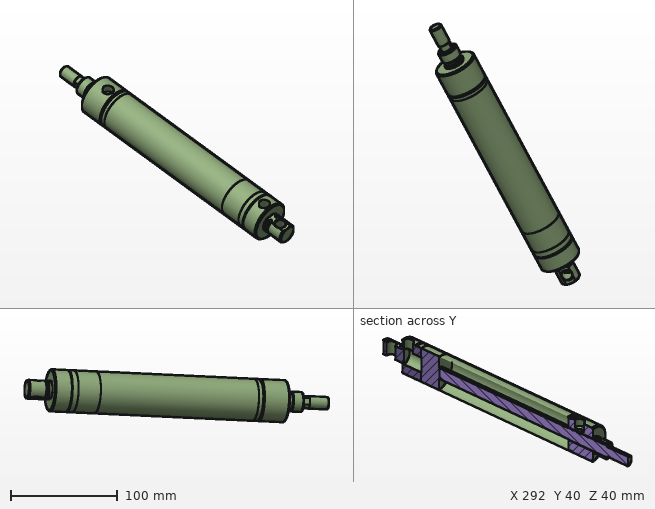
import cadquery as cq
import math

total_length = 292.0
collar_start = 25.0
head_start = 41.8
tube_start = 67.5
tube_end = 252.7
cap_end = 269.5

barrel_radius = 20.0
tube_bore_radius = 19.3
end_chamfer = 1.2
head_joint_chamfer = 1.2
cap_joint_chamfer = 1.0
tube_chamfer = 0.45
head_spigot_length = 4.5
cap_spigot_length = 5.8
head_spigot_end = tube_start + head_spigot_length
cap_spigot_start = tube_end - cap_spigot_length

stem_radius = 9.5
stem_chamfer = 1.2
groove_depth = 1.0
front_groove_start = 35.3
front_groove_width = 4.5
rear_groove_start = 272.2
rear_groove_width = 3.2

eye_hole_x = 282.8
eye_hole_radius = 5.0
eye_countersink = 0.5
eye_flat_half_width = 4.82

tip_radius = 6.0
tip_chamfer = 1.0
neck_radius = 5.8
shank_radius = 6.7
neck_start = 18.7
flat_half_gap = 5.0

piston_length = 21.5
piston_end = cap_spigot_start
piston_start = piston_end - piston_length

port_radius = 5.3
front_port_x = 58.0
rear_port_x = 262.0
port_passage_radius = 3.2
port_depth = 8.8
cap_chamber_radius = 8.5
cap_chamber_end = rear_port_x + port_radius


def cylinder(radius, start, end):
    """Solid cylinder on the X axis between two X positions."""
    return cq.Workplane("YZ", origin=(start, 0, 0)).circle(radius).extrude(end - start)


def vertical_hole(radius, x, bottom, top):
    """Vertical cylindrical cutter centred on the axis at the given X position."""
    return cq.Workplane("XY", origin=(x, 0, bottom)).circle(radius).extrude(top - bottom)


def slab(start, end, y_size, z_size):
    """Rectangular block between two X positions, centred on the X axis."""
    length = end - start
    return cq.Workplane("XY", origin=(start + length / 2, 0, 0)).box(length, y_size, z_size)


def relief_groove(start, width):
    """Ring cutter with sloped walls that leaves a shallow groove in a stem."""
    floor_radius = stem_radius - groove_depth
    profile = [
        (start, stem_radius),
        (start + groove_depth, floor_radius),
        (start + width - groove_depth, floor_radius),
        (start + width, stem_radius),
    ]
    return cq.Workplane("XY").polyline(profile).close().revolve(360, (0, 0, 0), (1, 0, 0))


def front_port():
    """Port cutter: wide bore, conical shoulder and a narrow passage down to the rod."""
    floor = barrel_radius - port_depth
    shoulder = port_radius - port_passage_radius
    profile = [
        (0, 0),
        (port_passage_radius, 0),
        (port_passage_radius, floor - shoulder),
        (port_radius, floor),
        (port_radius, barrel_radius),
        (0, barrel_radius),
    ]
    outline = cq.Workplane("XZ", origin=(front_port_x, 0, 0)).polyline(profile).close()
    return outline.revolve(360, (0, 0, 0), (0, 1, 0))


def make_head():
    """Front head: barrel end block, grooved collar, and spigot inside the tube."""
    block = cylinder(barrel_radius, head_start, tube_start)
    block = block.faces("<X").chamfer(end_chamfer)
    block = block.faces(">X").chamfer(head_joint_chamfer)
    collar = cylinder(stem_radius, collar_start, head_start)
    collar = collar.faces("<X").chamfer(stem_chamfer)
    collar = collar.cut(relief_groove(front_groove_start, front_groove_width))
    spigot = cylinder(tube_bore_radius, tube_start, head_spigot_end)
    head = block.union(collar).union(spigot)
    head = head.cut(front_port())
    return head.cut(cylinder(shank_radius, collar_start, head_spigot_end))


def make_tube():
    """Thin barrel tube, lightly chamfered outside at the head end."""
    tube = cylinder(barrel_radius, tube_start, tube_end)
    tube = tube.faces("<X").chamfer(tube_chamfer)
    return tube.cut(cylinder(tube_bore_radius, tube_start, tube_end))


def make_eye():
    """Pivot eye: a grooved stem with flats above and below and a vertical pin hole."""
    eye = cylinder(stem_radius, cap_end, total_length)
    eye = eye.faces(">X").chamfer(stem_chamfer)
    eye = eye.cut(relief_groove(rear_groove_start, rear_groove_width))
    flat_height = math.sqrt(stem_radius**2 - eye_flat_half_width**2)
    eye = eye.intersect(slab(cap_end, total_length, 2 * stem_radius, 2 * flat_height))

    mouth_radius = eye_hole_radius + eye_countersink
    profile = [
        (0, 0),
        (eye_hole_radius, 0),
        (eye_hole_radius, flat_height - eye_countersink),
        (mouth_radius, flat_height),
        (mouth_radius, stem_radius),
        (0, stem_radius),
    ]
    outline = cq.Workplane("XZ", origin=(eye_hole_x, 0, 0)).polyline(profile).close()
    half_hole = outline.revolve(360, (0, 0, 0), (0, 1, 0))
    return eye.cut(half_hole).cut(half_hole.mirror("XY"))


def make_cap():
    """Rear cap: barrel end block, spigot inside the tube, pivot eye and side port."""
    block = cylinder(barrel_radius, tube_end, cap_end)
    block = block.faces(">X").chamfer(end_chamfer)
    block = block.faces("<X").chamfer(cap_joint_chamfer)
    spigot = cylinder(tube_bore_radius, cap_spigot_start, tube_end)
    cap = block.union(spigot).union(make_eye())
    cap = cap.cut(cylinder(cap_chamber_radius, cap_spigot_start, cap_chamber_end))
    return cap.cut(vertical_hole(port_radius, rear_port_x, 0, barrel_radius))


def make_rod():
    """Piston rod ending on the front face of the piston."""
    tip = cylinder(tip_radius, 0, neck_start)
    tip = tip.faces("<X").chamfer(tip_chamfer)
    neck = cylinder(neck_radius, neck_start, collar_start)
    neck = neck.intersect(slab(neck_start, collar_start, 2 * flat_half_gap, 2 * neck_radius))
    shank = cylinder(shank_radius, collar_start, piston_start)
    return tip.union(neck).union(shank)


def make_piston():
    """Solid piston filling the tube bore."""
    return cylinder(tube_bore_radius, piston_start, piston_end)


head = make_head()
tube = make_tube()
cap = make_cap()
rod = make_rod()
piston = make_piston()

result = cq.Compound.makeCompound([head.val(), tube.val(), cap.val(), rod.val(), piston.val()])